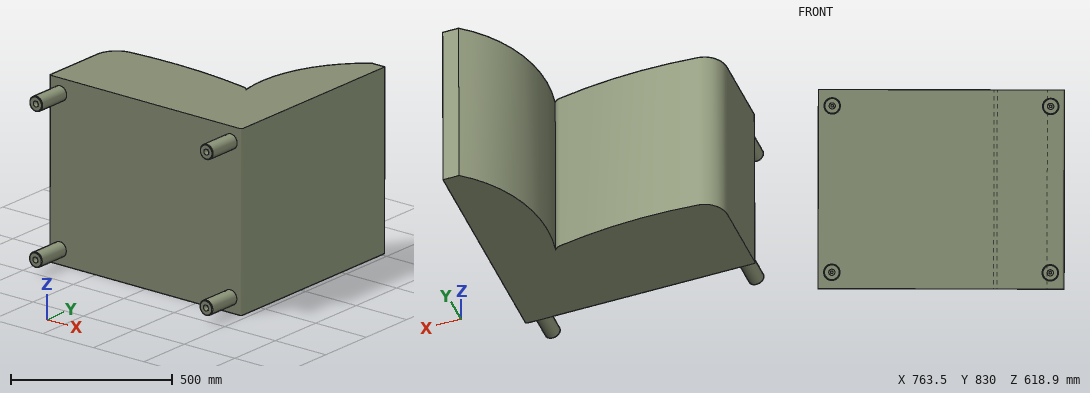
import cadquery as cq
import math

turn_angle = 0.14
overall_length = 830.0

depth = 762.0
breadth = 617.0
top_y = overall_length / 2
bottom_y = -294.0
front_x = -depth / 2
rear_x = depth / 2
bottom_round_radius = 7.0

crown_x = -147.0
crown_y = 28.0
crown_radius = 1652.0
front_round_radius = 76.0
rear_round_x = 153.0
crease_x = 21.2
crease_y = -12.0

bulge_radius = 423.0
bulge_x = 163.0
bulge_y = 80.0

leg_diameter = 51.0
leg_end_diameter = 46.0
leg_end_chamfer = (leg_diameter - leg_end_diameter) / 2
leg_length = overall_length - (top_y - bottom_y)
leg_x = 338.0
leg_z = 257.0
recess_diameter = 19.0
recess_depth = 21.0
bore_diameter = 8.0
bore_depth = 33.0


def crown_point(x):
    """Point on the seat crown at a given X."""
    rise = math.sqrt(crown_radius**2 - (x - crown_x) ** 2)
    return (x, crown_y - crown_radius + rise)


def bulge_point(y):
    """Point on the backrest bulge at a given Y."""
    reach = math.sqrt(bulge_radius**2 - (y - bulge_y) ** 2)
    return (bulge_x + bulge_radius - reach, y)


def turned(body):
    """Turn a body with the chair about the Y axis."""
    return body.rotate((0, 0, 0), (0, 1, 0), turn_angle)


def make_upholstery():
    """Seat and backrest as one block with rounded front and bottom edges."""
    block = (
        cq.Workplane("XY", origin=(0, 0, -breadth / 2))
        .moveTo(front_x, bottom_y)
        .lineTo(*crown_point(front_x))
        .threePointArc((crown_x, crown_y), crown_point(rear_round_x))
        .tangentArcPoint(bulge_point(crease_y), relative=False)
        .threePointArc((bulge_x, bulge_y), bulge_point(top_y))
        .lineTo(rear_x, top_y)
        .lineTo(rear_x, bottom_y)
        .close()
        .extrude(breadth)
    )
    seat_front_edge = cq.selectors.NearestToPointSelector((*crown_point(front_x), 0))
    block = block.edges(seat_front_edge).fillet(front_round_radius)
    return turned(block.faces("<Y").edges("|Z").fillet(bottom_round_radius))


def make_leg(x, z):
    """Round leg with a chamfered end and a stepped central hole."""
    leg = (
        cq.Workplane("XZ", origin=(x, bottom_y, z))
        .circle(leg_diameter / 2)
        .extrude(leg_length)
        .faces("<Y")
        .chamfer(leg_end_chamfer)
    )
    end_face = cq.Workplane("XZ", origin=(x, bottom_y - leg_length, z))
    recess = end_face.circle(recess_diameter / 2).extrude(-recess_depth)
    bore = end_face.circle(bore_diameter / 2).extrude(-bore_depth)
    return turned(leg.cut(recess).cut(bore))


upholstery = make_upholstery()
legs = [make_leg(x, z) for x in (-leg_x, leg_x) for z in (-leg_z, leg_z)]

result = cq.Compound.makeCompound([upholstery.val(), *[leg.val() for leg in legs]])